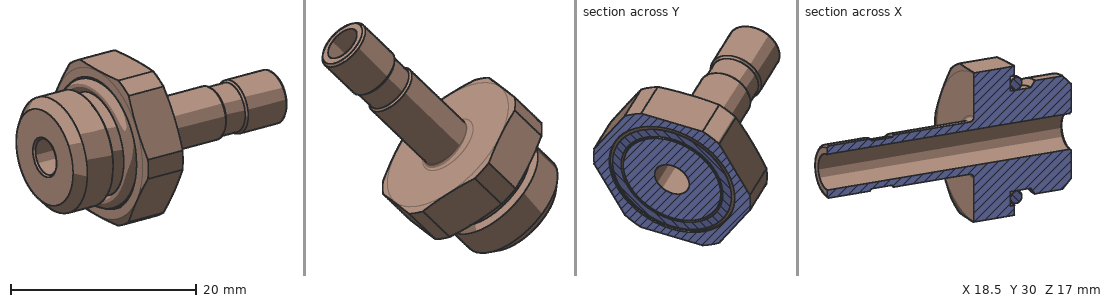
import cadquery as cq
import math

total_length = 30.0

thread_radius = 6.48
front_chamfer = 1.1
thread_end = 4.5
neck_radius = 5.75
neck_start = 5.0

hex_start = 7.0
hex_length = 5.0
hex_end = hex_start + hex_length
across_flats = 17.0
corner_radius = 9.25
hex_face_radius = 8.43
hex_chamfer_length = 0.2

ring_section_radius = 0.72
ring_center_radius = neck_radius + ring_section_radius
ring_recess_radius = 7.35
ring_recess_depth = 0.5
ring_recess_floor = hex_start + ring_recess_depth
ring_center_y = ring_recess_floor - ring_section_radius

stem_radius = 3.0
stem_groove_radius = 2.75
stem_chamfer = stem_radius - stem_groove_radius
stem_groove_width = 2.5
stem_groove_end = 24.5
stem_groove_start = stem_groove_end - stem_groove_width
stem_root_fillet = 0.5

bore_radius = 2.0
bore_chamfer = 0.2


def revolve_about_y(profile):
    """Turn a closed profile of (radius, y) coordinates about the Y axis."""
    return profile.close().revolve(360, (0, 0, 0), (0, 1, 0))


def make_spigot():
    """Neck and chamfered thread, reaching back to the recess floor."""
    return revolve_about_y(
        cq.Workplane("XY").polyline([
            (0, 0),
            (thread_radius - front_chamfer, 0),
            (thread_radius, front_chamfer),
            (thread_radius, thread_end),
            (neck_radius, neck_start),
            (neck_radius, ring_recess_floor),
            (0, ring_recess_floor),
        ])
    )


def make_hex_collar():
    """Hexagon with flats facing +Z and -Z, corners turned and chamfered at both ends."""
    across_corners = across_flats / math.cos(math.pi / 6)
    hexagon = (
        cq.Workplane("XZ", origin=(0, hex_start, 0))
        .polygon(6, across_corners)
        .extrude(-hex_length)
    )
    turned_envelope = revolve_about_y(
        cq.Workplane("XY").polyline([
            (0, hex_start),
            (hex_face_radius, hex_start),
            (corner_radius, hex_start + hex_chamfer_length),
            (corner_radius, hex_end - hex_chamfer_length),
            (hex_face_radius, hex_end),
            (0, hex_end),
        ])
    )
    recess = (
        cq.Workplane("XZ", origin=(0, hex_start, 0))
        .circle(ring_recess_radius)
        .extrude(-ring_recess_depth)
    )
    return hexagon.intersect(turned_envelope).cut(recess)


def make_stem():
    """Grooved stem flaring into the collar through a concave root fillet."""
    fillet_middle_offset = stem_root_fillet * (1 - math.sqrt(0.5))
    return revolve_about_y(
        cq.Workplane("XY")
        .moveTo(0, hex_end)
        .lineTo(stem_radius + stem_root_fillet, hex_end)
        .threePointArc(
            (stem_radius + fillet_middle_offset, hex_end + fillet_middle_offset),
            (stem_radius, hex_end + stem_root_fillet),
        )
        .lineTo(stem_radius, stem_groove_start - stem_chamfer)
        .lineTo(stem_groove_radius, stem_groove_start)
        .lineTo(stem_groove_radius, stem_groove_end)
        .lineTo(stem_radius, stem_groove_end + stem_chamfer)
        .lineTo(stem_radius, total_length - stem_chamfer)
        .lineTo(stem_radius - stem_chamfer, total_length)
        .lineTo(0, total_length)
    )


def make_bore():
    """Through bore, countersunk at the threaded front face."""
    return revolve_about_y(
        cq.Workplane("XY").polyline([
            (0, 0),
            (bore_radius + bore_chamfer, 0),
            (bore_radius, bore_chamfer),
            (bore_radius, total_length),
            (0, total_length),
        ])
    )


def make_fitting():
    """Turned fitting body: spigot, collar and stem with the bore through them."""
    return make_spigot().union(make_hex_collar()).union(make_stem()).cut(make_bore())


def make_sealing_ring():
    """O-ring around the neck, resting on the recess floor."""
    return (
        cq.Workplane("XY")
        .center(ring_center_radius, ring_center_y)
        .circle(ring_section_radius)
        .revolve(360, (-ring_center_radius, 0, 0), (-ring_center_radius, 1, 0))
    )


fitting = make_fitting()
sealing_ring = make_sealing_ring()

result = cq.Compound.makeCompound([fitting.solids().val(), sealing_ring.val()])